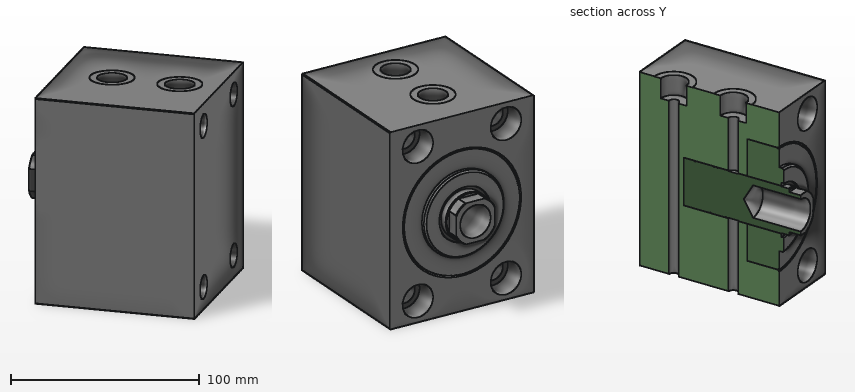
import cadquery as cq
import math


HOUSING_LENGTH = 88.0
HOUSING_WIDTH = 90.0
HOUSING_HEIGHT = 115.0
HOUSING_EDGE_CHAMFER = 0.5

MOUNT_SPACING_Y = 55.0
MOUNT_SPACING_Z = 90.0
MOUNT_HOLE_DIAMETER = 13.0
MOUNT_COUNTERBORE_DIAMETER = 19.0
MOUNT_COUNTERBORE_DEPTH = 13.5

PORT_POSITIONS_X = (29.0, 66.5)
PORT_SPOTFACE_DIAMETER = 24.0
PORT_SPOTFACE_DEPTH = 0.1
PORT_DIAMETER = 16.0
PORT_DEPTH = 12.0
PORT_DRILL_DIAMETER = 6.0

CAP_DIAMETER = 72.0
CAP_DEPTH = 20.0
CAP_SEAT_CHAMFER = 1.0
CAP_BOSS_DIAMETER = 50.0
CAP_BOSS_LENGTH = 3.0
CAP_BOSS_CHAMFER = 1.0
WIPER_RECESS_DIAMETER = 32.0
WIPER_RECESS_DEPTH = 1.5

ROD_DIAMETER = 28.0
ROD_CHAMFER = 0.5
ROD_DEPTH = 60.0
ROD_COLLAR_LENGTH = 3.5
ROD_TIP_DIAMETER = ROD_DIAMETER - 2 * ROD_CHAMFER
ROD_TIP_LENGTH = 7.0
ROD_TIP_CHAMFER = 0.3
ROD_FLAT_WIDTH = 24.0
ROD_HOLE_DIAMETER = 19.0
ROD_HOLE_DEPTH = 30.0
DRILL_POINT_ANGLE = 118.0

ROD_COLLAR_FACE_X = -CAP_BOSS_LENGTH - ROD_COLLAR_LENGTH
ROD_TIP_FACE_X = ROD_COLLAR_FACE_X - ROD_TIP_LENGTH


def cylinder_x(diameter, start_x, length):
    """Cylinder on the X axis, running toward +X from start_x."""
    return cq.Workplane("YZ", origin=(start_x, 0, 0)).circle(diameter / 2).extrude(length)


def cylinder_down(diameter, x, depth):
    """Vertical cylinder running down from the top face of the housing."""
    top = cq.Workplane("XY", origin=(x, 0, HOUSING_HEIGHT / 2))
    return top.circle(diameter / 2).extrude(-depth)


def make_housing():
    block = (
        cq.Workplane("XY")
        .box(HOUSING_LENGTH, HOUSING_WIDTH, HOUSING_HEIGHT)
        .translate((HOUSING_LENGTH / 2, 0, 0))
        .edges("|X")
        .chamfer(HOUSING_EDGE_CHAMFER)
    )

    seat = cylinder_x(CAP_DIAMETER, 0, CAP_DEPTH)
    block = block.cut(seat)
    seat_mouth = cq.selectors.RadiusNthSelector(-1)
    block = block.faces("<X").edges(seat_mouth).chamfer(CAP_SEAT_CHAMFER)
    block = block.cut(cylinder_x(ROD_DIAMETER, 0, ROD_DEPTH))

    for side_y in (-1, 1):
        for side_z in (-1, 1):
            position = (0, side_y * MOUNT_SPACING_Y / 2, side_z * MOUNT_SPACING_Z / 2)
            hole = cylinder_x(MOUNT_HOLE_DIAMETER, 0, HOUSING_LENGTH)
            counterbore = cylinder_x(MOUNT_COUNTERBORE_DIAMETER, 0, MOUNT_COUNTERBORE_DEPTH)
            block = block.cut(hole.union(counterbore).translate(position))

    for port_x in PORT_POSITIONS_X:
        block = block.cut(cylinder_down(PORT_SPOTFACE_DIAMETER, port_x, PORT_SPOTFACE_DEPTH))
        block = block.cut(cylinder_down(PORT_DIAMETER, port_x, PORT_DEPTH))
        block = block.cut(cylinder_down(PORT_DRILL_DIAMETER, port_x, HOUSING_HEIGHT))
    return block


def make_cap():
    flange = cylinder_x(CAP_DIAMETER, 0, CAP_DEPTH)
    boss = cylinder_x(CAP_BOSS_DIAMETER, -CAP_BOSS_LENGTH, CAP_BOSS_LENGTH)
    boss = boss.faces("<X").edges().chamfer(CAP_BOSS_CHAMFER)
    rod_bore = cylinder_x(ROD_DIAMETER, -CAP_BOSS_LENGTH, CAP_BOSS_LENGTH + CAP_DEPTH)
    wiper_recess = cylinder_x(WIPER_RECESS_DIAMETER, -CAP_BOSS_LENGTH, WIPER_RECESS_DEPTH)
    return flange.union(boss).cut(rod_bore).cut(wiper_recess)


def make_rod():
    shaft = cylinder_x(ROD_DIAMETER, ROD_COLLAR_FACE_X, ROD_DEPTH - ROD_COLLAR_FACE_X)
    shaft = shaft.faces("<X").edges().chamfer(ROD_CHAMFER)

    tip = cylinder_x(ROD_TIP_DIAMETER, ROD_TIP_FACE_X, ROD_TIP_LENGTH)
    tip = tip.faces("<X").edges().chamfer(ROD_TIP_CHAMFER)
    square = (
        cq.Workplane("YZ", origin=(ROD_TIP_FACE_X, 0, 0))
        .rect(ROD_FLAT_WIDTH, ROD_FLAT_WIDTH)
        .extrude(ROD_TIP_LENGTH)
    )
    rod = shaft.union(tip.intersect(square))

    hole_radius = ROD_HOLE_DIAMETER / 2
    hole_end_x = ROD_TIP_FACE_X + ROD_HOLE_DEPTH
    point_length = hole_radius / math.tan(math.radians(DRILL_POINT_ANGLE / 2))
    hole = (
        cq.Workplane("XY")
        .moveTo(ROD_TIP_FACE_X, 0)
        .lineTo(ROD_TIP_FACE_X, hole_radius)
        .lineTo(hole_end_x, hole_radius)
        .lineTo(hole_end_x + point_length, 0)
        .close()
        .revolve(360, (0, 0, 0), (1, 0, 0))
    )
    return rod.cut(hole)


housing = make_housing()
cap = make_cap()
rod = make_rod()

result = cq.Compound.makeCompound([housing.val(), cap.val(), rod.val()])